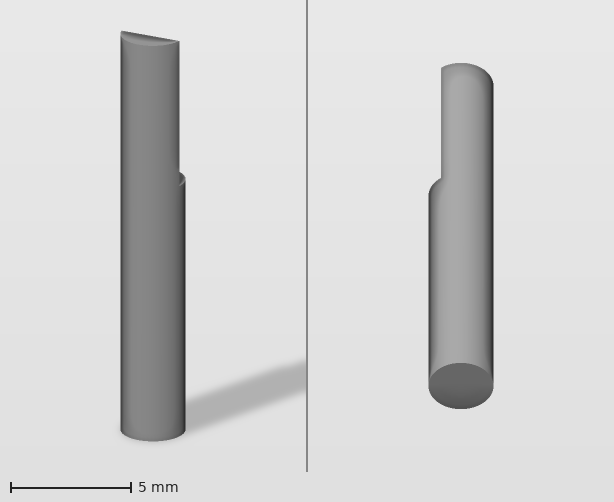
import cadquery as cq

pin_diameter = 2.7
pin_length = 17.7
flat_length = 6.5
flat_offset = 0.25


def make_pin():
    """Plain round pin standing on the XY plane."""
    return cq.Workplane("XY").circle(pin_diameter / 2).extrude(pin_length)


def make_flat_cutter():
    """Block that removes everything behind the flat at the upper end."""
    return cq.Workplane("XY").box(
        pin_diameter, pin_diameter, flat_length, centered=(True, False, False)
    ).translate((0, -flat_offset, pin_length - flat_length))


result = make_pin().cut(make_flat_cutter())